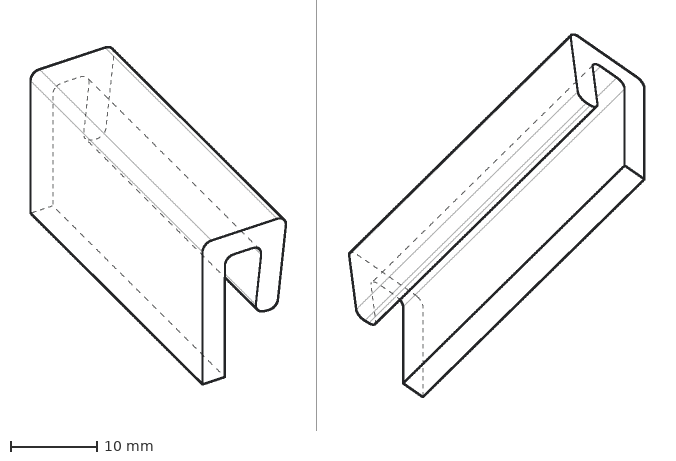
import cadquery as cq
import math

length = 40.0
depth = 11.2
height = 20.0
wall = 3.0
lip_drop = 12.7
lip_angle = 6.0
corner_radius = 1.2

lean = math.tan(math.radians(lip_angle))
lip_width_y = wall / math.cos(math.radians(lip_angle))

corner_angle = math.radians(90 - lip_angle)
corner_overhang = corner_radius / math.tan(corner_angle / 2) - corner_radius
corner_y = depth + corner_overhang


def lip_outer_y(z):
    """Y of the lip's outer face at height z."""
    return corner_y - (height - z) * lean


def lip_inner_y(z):
    """Y of the lip's inner face at height z."""
    return lip_outer_y(z) - lip_width_y


bridge_underside = height - wall
tip_outer_z = height - lip_drop
tip_inner_z = tip_outer_z + wall * math.sin(math.radians(lip_angle))
rounded_corners = [
    (0, height),
    (corner_y, height),
    (lip_outer_y(tip_outer_z), tip_outer_z),
    (lip_inner_y(tip_inner_z), tip_inner_z),
    (lip_inner_y(bridge_underside), bridge_underside),
    (wall, bridge_underside),
]
profile = [(0, 0)] + rounded_corners + [(wall, 0)]
hook = cq.Workplane("YZ").polyline(profile).close().extrude(length)

edges_to_round = hook.newObject([])
for y, z in rounded_corners:
    nearest = cq.selectors.NearestToPointSelector((length / 2, y, z))
    edges_to_round = edges_to_round.add(hook.edges(nearest))

result = edges_to_round.fillet(corner_radius)